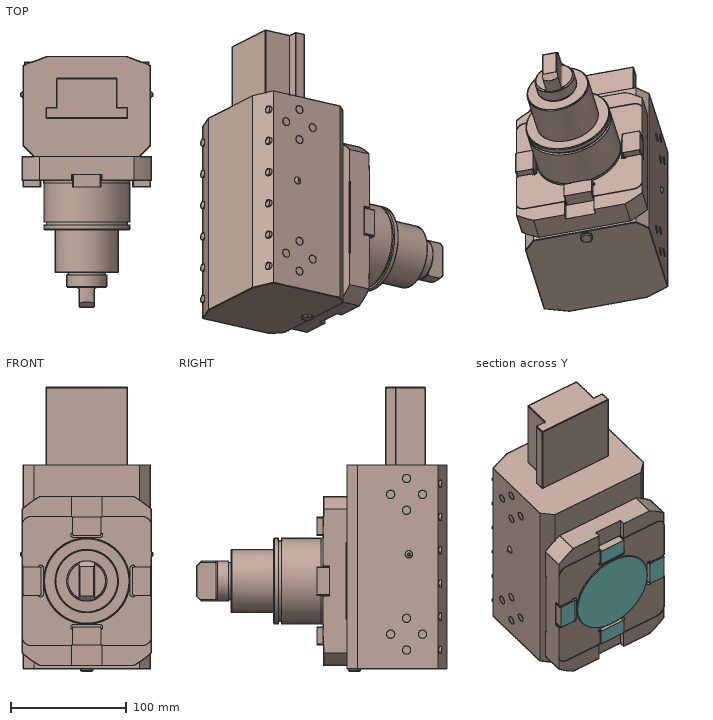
import cadquery as cq
import math


housing_width = 110.5
housing_depth = 87.0
housing_top = 100.8
housing_bottom = -76.2
front_chamfer = 9.4
back_chamfer_width = 20.7
back_chamfer_depth = 8.0
bottom_edge_break = 0.5
housing_mid_z = (housing_top + housing_bottom) / 2

bar_top = 168.0
bar_front = 33.3
bar_step = 42.6
bar_back = 68.0
bar_wide = 70.7
bar_narrow = 52.3
bar_edge_break = 0.5

flange_width = 112.1
flange_height = 146.5
flange_corner_radius = 83.8
flange_thickness = 20.2
pad_size = 112.1
pad_corner = 8.1
pad_height = 0.5
pad_front = flange_thickness + pad_height
side_relief_height = 65.5
side_relief_size = 1.0

keyway_mouth_width = 26.1
keyway_floor = 15.3
keyway_inner = 37.7
keyway_relief_diameter = 4.0
keyway_relief_x = 11.8
keyway_relief_z = 40.0
key_width = 24.6
key_inner = 39.7
key_outer = 55.5
key_front = 26.1
key_edge_break = 0.7

collar_diameter = 74.7
collar_end = 63.5
locating_diameter = 75.0
locating_width = 2.0
ring_groove_diameter = 70.2
ring_groove_start = 56.7
ring_groove_end = 59.5
nose_diameter = 55.0
nose_end = 100.5
neck_diameter = 32.5
drive_start = 102.5
drive_diameter = 35.0
drive_end = 113.5
spindle_edge_break = 0.7
drive_edge_break = 1.2

tang_end = 130.6
tang_thickness = 13.3
tang_chamfer = 4.7
tang_side_chamfer = 0.7
tang_root_radius = 2.0

screw_diameter = 6.5
screw_x = 50.8
screw_head_y = 82.0
screw_length = 7.5
screw_count = 6
screw_pitch = 28.8
plug_diameter = 10.5
plug_y = 6.7
plug_height = 2.2
plug_edge_break = 1.0
nipple_base_diameter = 6.5
nipple_tip_diameter = 2.1
nipple_y = 53.7
nipple_z = 23.2
overall_width = 114.5
nipple_height = (overall_width - housing_width) / 2
side_hole_diameter = 7.1
side_hole_depth = 0.2
side_hole_circle_radius = 13.8
side_hole_y = 51.8
side_hole_middle_z = 14.5
side_hole_offset_z = 60.6


def forward_block(width, height, start, end):
    """Box centred on the spindle axis, reaching from start to end in front of the housing."""
    return cq.Workplane("XY").box(width, end - start, height).translate((0, -(start + end) / 2, 0))


def forward_cylinder(diameter, start, end):
    """Cylinder on the spindle axis, reaching from start to end in front of the housing."""
    return cq.Workplane("XZ", origin=(0, -start, 0)).circle(diameter / 2).extrude(end - start)


def around_spindle(solid):
    """Four copies of a solid, a quarter turn apart about the spindle axis."""
    copies = solid
    for quarter in range(1, 4):
        copies = copies.union(solid.rotate((0, 0, 0), (0, 1, 0), 90 * quarter))
    return copies


def make_housing():
    side = housing_width / 2
    outline = [
        (side - front_chamfer, 0),
        (side, front_chamfer),
        (side, housing_depth - back_chamfer_depth),
        (side - back_chamfer_width, housing_depth),
    ]
    mirrored = [(-x, y) for x, y in reversed(outline)]
    base = cq.Workplane("XY", origin=(0, 0, housing_bottom))
    block = base.polyline(outline + mirrored).close().extrude(housing_top - housing_bottom)
    return block.faces("<Z").edges().chamfer(bottom_edge_break)


def make_bar():
    height = bar_top - housing_top
    base = cq.Workplane("XY", origin=(0, 0, housing_top))
    wide_centre = (bar_front + bar_step) / 2
    narrow_centre = (bar_front + bar_back) / 2
    wide = base.center(0, wide_centre).rect(bar_wide, bar_step - bar_front).extrude(height)
    narrow = base.center(0, narrow_centre).rect(bar_narrow, bar_back - bar_front).extrude(height)
    wide = wide.edges("|Z").chamfer(bar_edge_break)
    narrow = narrow.edges("|Z and >Y").chamfer(bar_edge_break)
    return wide.union(narrow).faces(">Z").edges().chamfer(bar_edge_break)


def make_flange():
    flange = forward_block(flange_width, flange_height, 0, flange_thickness)
    flange = flange.intersect(forward_cylinder(2 * flange_corner_radius, 0, flange_thickness))
    pad = forward_block(pad_size, pad_size, flange_thickness, pad_front).edges("|Y").fillet(pad_corner)
    flange = flange.union(pad)
    relief = cq.Workplane("XY").box(2 * side_relief_size, 2 * side_relief_size, side_relief_height)
    for side in (-1, 1):
        flange = flange.cut(relief.translate((side * flange_width / 2, 0, 0)))
    return flange


def make_keyways():
    """Key seats with relieved inner corners, widening to a mouth that runs out of the flange edge."""
    outer = flange_height / 2 + 2.5
    depth = key_front - keyway_floor
    seat_length = key_outer - keyway_inner
    mouth_length = outer - key_outer
    plane = cq.Workplane("XZ", origin=(0, -keyway_floor, 0))
    seat = plane.center(0, keyway_inner + seat_length / 2).rect(key_width, seat_length).extrude(depth)
    mouth = plane.center(0, key_outer + mouth_length / 2).rect(keyway_mouth_width, mouth_length).extrude(depth)
    reliefs = plane.pushPoints([(side * keyway_relief_x, keyway_relief_z) for side in (-1, 1)])
    reliefs = reliefs.circle(keyway_relief_diameter / 2).extrude(depth)
    return around_spindle(seat.union(mouth).union(reliefs))


def make_keys():
    key = cq.Workplane("XY").box(key_width, key_front - keyway_floor, key_outer - key_inner)
    key = key.edges("|Y").chamfer(key_edge_break)
    return around_spindle(key.translate((0, -(key_front + keyway_floor) / 2, (key_outer + key_inner) / 2)))


def make_spindle():
    locating_end = pad_front + locating_width
    collar = forward_cylinder(collar_diameter, locating_end, ring_groove_start)
    ring = forward_cylinder(collar_diameter, ring_groove_end, collar_end)
    nose = forward_cylinder(nose_diameter, collar_end, nose_end)
    drive = forward_cylinder(drive_diameter, drive_start, drive_end)
    drive = drive.faces("<Y").edges().chamfer(drive_edge_break)
    spindle = forward_cylinder(locating_diameter, keyway_floor, locating_end).union(collar)
    spindle = spindle.union(forward_cylinder(ring_groove_diameter, ring_groove_start, ring_groove_end))
    spindle = spindle.union(forward_cylinder(neck_diameter, nose_end, drive_start))
    for step in (ring, nose):
        spindle = spindle.union(step.faces("<Y").edges().chamfer(spindle_edge_break))
    return spindle.union(drive).union(make_tang())


def make_tang():
    half = tang_thickness / 2
    root = tang_root_radius
    bend = root * (1 - math.sqrt(0.5))
    profile = (
        cq.Workplane("XY")
        .moveTo(half + root, -drive_end)
        .threePointArc((half + bend, -drive_end - bend), (half, -drive_end - root))
        .lineTo(half, -tang_end + tang_side_chamfer)
        .lineTo(half - tang_side_chamfer, -tang_end)
        .lineTo(-half + tang_side_chamfer, -tang_end)
        .lineTo(-half, -tang_end + tang_side_chamfer)
        .lineTo(-half, -drive_end - root)
        .threePointArc((-half - bend, -drive_end - bend), (-half - root, -drive_end))
        .close()
        .extrude(drive_diameter / 2, both=True)
    )
    sides = forward_block(drive_diameter, drive_diameter, drive_end, tang_end)
    sides = sides.faces("<Y").edges("|X").chamfer(tang_chamfer)
    return profile.intersect(sides).intersect(forward_cylinder(drive_diameter, drive_end, tang_end))


def make_cover_screws():
    heads = [
        (side * screw_x, housing_mid_z + (row - (screw_count - 1) / 2) * screw_pitch)
        for side in (-1, 1)
        for row in range(screw_count)
    ]
    plane = cq.Workplane("XZ", origin=(0, screw_head_y, 0))
    return plane.pushPoints(heads).circle(screw_diameter / 2).extrude(screw_length)


def make_plug():
    plug = cq.Workplane("XY").circle(plug_diameter / 2).extrude(-plug_height)
    plug = plug.faces("<Z").edges().chamfer(plug_edge_break)
    return plug.translate((0, plug_y, housing_bottom))


def make_nipples():
    nipple = cq.Solid.makeCone(
        nipple_base_diameter / 2,
        nipple_tip_diameter / 2,
        nipple_height,
        pnt=cq.Vector(housing_width / 2, nipple_y, nipple_z),
        dir=cq.Vector(1, 0, 0),
    )
    right = cq.Workplane(nipple)
    return right.union(right.mirror("YZ"))


def make_side_holes():
    """Shallow round marks, four around each of two centres on both sides of the housing."""
    quarter_turns = [quarter * math.pi / 2 for quarter in range(4)]
    marks = [
        (
            side_hole_y + side_hole_circle_radius * math.cos(angle),
            side_hole_middle_z + end * side_hole_offset_z + side_hole_circle_radius * math.sin(angle),
        )
        for end in (-1, 1)
        for angle in quarter_turns
    ]
    plane = cq.Workplane("YZ", origin=(housing_width / 2 - side_hole_depth, 0, 0))
    right = plane.pushPoints(marks).circle(side_hole_diameter / 2).extrude(2 * side_hole_depth)
    return right.union(right.mirror("YZ"))


housing = make_housing().cut(make_side_holes())
flange_with_keys = make_flange().cut(make_keyways()).union(make_keys())
result = housing.union(flange_with_keys).union(make_bar()).union(make_spindle())
for hardware in (make_cover_screws(), make_plug(), make_nipples()):
    result = result.union(hardware)